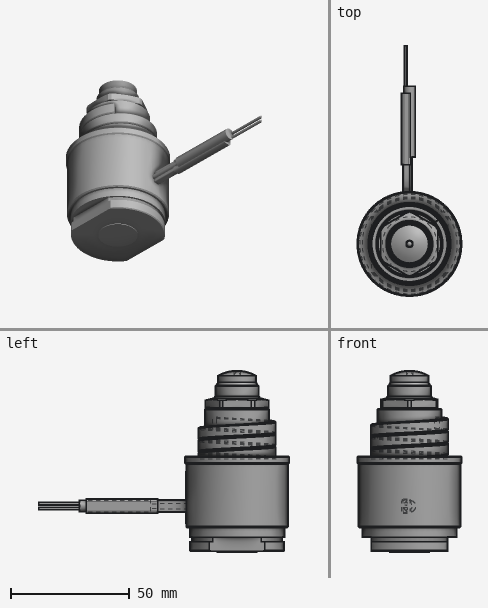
import cadquery as cq
import math

dome_apex_z = 76.37
flange_radius = 22.0
wire_end_y = 83.5

foot_pad_radius = 8.3
foot_pad_height = 0.25
foot_radius = 19.85
foot_top_z = 4.4
foot_neck_radius = 19.1
foot_neck_top_z = 6.3
foot_flat_distance = 16.1
foot_edge_chamfer = 0.4

step_radius = 20.0
step_top_z = 10.3
body_radius = 21.5
body_edge_chamfer = 0.5
flange_bottom_z = 37.5
flange_top_z = 40.3
flange_edge_chamfer = 0.4

core_radius = 13.55
core_top_z = 60.3
core_edge_chamfer = 0.35
thread_radius = 16.4
thread_pitch = 5.2
thread_turns = 4
thread_gap = 0.1
thread_chamfer = 0.5
thread_overlap = 0.5
thread_end_angle = 40.0
thread_end_z = 56.9
recess_radius = 16.9
recess_depth = 1.0
recess_chamfer = 0.5

cap_neck_radius = 11.5
hex_across_flats = 24.0
hex_corner_radius = 13.45
hex_bottom_z = 60.8
hex_edge_z = 63.85
cap_cone_radius = 9.8
cap_cone_z = 64.8
collar_radius = 9.15
collar_bottom_z = 65.5
collar_top_z = 69.75
collar_chamfer = 0.45
tip_radius = 8.05
tip_root_radius = 8.6
tip_root_z = 71.4
dome_base_z = 74.2

seat_radius = 1.45
seat_depth = 1.9
ball_radius = 1.3

cable_z = 19.35
cable_start_y = body_radius - 2.0
flat_tube_center_x = -1.45
flat_tube_width = 3.8
flat_tube_height = 6.1
flat_tube_fillet = 1.0
flat_tube_start_y = 33.4
flat_tube_end_y = 63.5
round_tube_diameter = 5.0
round_tube_start_y = 36.6
round_tube_end_y = 66.4
flat_cable_center_x = -1.35
flat_cable_width = 2.9
flat_cable_height = 5.1
flat_cable_fillet = 0.4
round_cable_diameter = 2.2
wire_diameter = 1.2
wire_center_x = -1.55
wire_spacing = 2.05


def disc(radius, bottom_z, top_z):
    """Plain cylinder on the Z axis."""
    return cq.Workplane("XY").workplane(offset=bottom_z).circle(radius).extrude(top_z - bottom_z)


def make_foot():
    """Grooved foot disc with parallel flats on both X sides and a thin pad below."""
    plate = disc(foot_radius, foot_pad_height, foot_top_z).faces("<Z").chamfer(foot_edge_chamfer)
    neck = disc(foot_neck_radius, foot_top_z, foot_neck_top_z)
    between_flats = cq.Workplane("XY").box(
        2 * foot_flat_distance, 2 * flange_radius, foot_neck_top_z, centered=(True, True, False)
    )
    pad = disc(foot_pad_radius, 0, foot_top_z)
    return plate.union(neck).intersect(between_flats).union(pad)


def make_housing():
    """Step, main body and flange, with a chamfered ring recess around the thread."""
    step = disc(step_radius, foot_neck_top_z, step_top_z)
    body = disc(body_radius, step_top_z, flange_bottom_z).faces("<Z").chamfer(body_edge_chamfer)
    flange = disc(flange_radius, flange_bottom_z - body_edge_chamfer, flange_top_z)
    flange = flange.faces("<Z").chamfer(body_edge_chamfer).faces(">Z").chamfer(flange_edge_chamfer)
    recess = disc(recess_radius, flange_top_z - recess_depth, flange_top_z)
    mouth_bottom = cq.Vector(0, 0, flange_top_z - recess_chamfer)
    mouth_radius = recess_radius + recess_chamfer
    mouth = cq.Workplane(obj=cq.Solid.makeCone(recess_radius, mouth_radius, recess_chamfer, mouth_bottom))
    return step.union(body).union(flange).cut(recess).cut(mouth)


def make_thread():
    """Right-handed helical ribbon around the core, running down into the housing."""
    height = thread_pitch - thread_gap
    start_top_z = thread_end_z - thread_turns * thread_pitch
    start_bottom_z = start_top_z - height
    inner_radius = core_radius - thread_overlap
    inner_shoulder_radius = core_radius + thread_chamfer
    chamfer_run = inner_shoulder_radius - inner_radius
    shoulder_radius = thread_radius - thread_chamfer
    profile = (
        cq.Workplane("XZ")
        .moveTo(inner_radius, start_bottom_z + chamfer_run)
        .lineTo(inner_shoulder_radius, start_bottom_z)
        .lineTo(shoulder_radius, start_bottom_z)
        .lineTo(thread_radius, start_bottom_z + thread_chamfer)
        .lineTo(thread_radius, start_top_z - thread_chamfer)
        .lineTo(shoulder_radius, start_top_z)
        .lineTo(inner_shoulder_radius, start_top_z)
        .lineTo(inner_radius, start_top_z - chamfer_run)
        .close()
    )
    helix = cq.Wire.makeHelix(
        thread_pitch, thread_turns * thread_pitch, thread_radius, cq.Vector(0, 0, start_bottom_z)
    )
    ribbon = profile.sweep(cq.Workplane(obj=helix), isFrenet=True)
    return ribbon.rotate((0, 0, 0), (0, 0, 1), thread_end_angle)


def make_core():
    """Plain cylinder inside the thread."""
    core = disc(core_radius, flange_bottom_z, core_top_z)
    return core.faces(">Z").chamfer(core_edge_chamfer)


def make_cap():
    """Hexagonal cap with turned corners, conical top, collar and domed tip."""
    outline = (
        cq.Workplane("XZ")
        .moveTo(0, hex_bottom_z)
        .lineTo(hex_corner_radius, hex_bottom_z)
        .lineTo(hex_corner_radius, hex_edge_z)
        .lineTo(cap_cone_radius, cap_cone_z)
        .lineTo(collar_radius, collar_bottom_z)
        .lineTo(collar_radius, collar_top_z)
        .lineTo(collar_radius - collar_chamfer, collar_top_z + collar_chamfer)
        .lineTo(tip_root_radius, collar_top_z + collar_chamfer)
        .lineTo(tip_radius, tip_root_z)
        .lineTo(tip_radius, dome_base_z)
    )
    dome_rise = dome_apex_z - dome_base_z
    dome_radius = (tip_radius ** 2 + dome_rise ** 2) / (2 * dome_rise)
    mid_angle = math.asin(tip_radius / dome_radius) / 2
    dome_center_z = dome_apex_z - dome_radius
    dome_middle = (
        dome_radius * math.sin(mid_angle),
        dome_center_z + dome_radius * math.cos(mid_angle),
    )
    turned = outline.threePointArc(dome_middle, (0, dome_apex_z)).close().revolve(360, (0, 0), (0, 1))
    hex_corner_diameter = hex_across_flats / math.cos(math.pi / 6)
    hexagon = (
        cq.Workplane("XY")
        .workplane(offset=hex_bottom_z)
        .transformed(rotate=(0, 0, 90))
        .polygon(6, hex_corner_diameter)
        .extrude(dome_apex_z - hex_bottom_z)
    )
    neck = disc(cap_neck_radius, core_top_z - core_edge_chamfer, hex_bottom_z)
    return turned.intersect(hexagon).union(neck)


def add_ball_seat(part):
    """Round pocket in the dome with a ball standing half out of its floor."""
    floor_z = dome_apex_z - seat_depth
    pocket = disc(seat_radius, floor_z, dome_apex_z)
    ball = cq.Workplane("XY").sphere(ball_radius).translate((0, 0, floor_z))
    return part.cut(pocket).union(ball)


def round_rod(diameter, center_x, center_z, start_y, end_y):
    """Cylinder running along +Y."""
    rod = cq.Workplane("XZ", origin=(center_x, start_y, center_z)).circle(diameter / 2)
    return rod.extrude(start_y - end_y)


def flat_rod(width, height, fillet, center_x, start_y, end_y):
    """Rectangular bar along +Y with rounded long edges."""
    rod = cq.Workplane("XZ", origin=(center_x, start_y, cable_z)).rect(width, height)
    return rod.extrude(start_y - end_y).edges("|Y").fillet(fillet)


def make_cables():
    """Flat and round cables, their sleeve tubes and the two thin wires at the end."""
    flat_cable = flat_rod(
        flat_cable_width, flat_cable_height, flat_cable_fillet,
        flat_cable_center_x, cable_start_y, flat_tube_end_y,
    )
    flat_tube = flat_rod(
        flat_tube_width, flat_tube_height, flat_tube_fillet,
        flat_tube_center_x, flat_tube_start_y, flat_tube_end_y,
    )
    round_cable = round_rod(round_cable_diameter, 0, cable_z, cable_start_y, round_tube_end_y)
    round_tube = round_rod(round_tube_diameter, 0, cable_z, round_tube_start_y, round_tube_end_y)
    cables = flat_cable.union(round_cable).union(flat_tube).union(round_tube)
    for side in (-1, 1):
        wire_z = cable_z + side * wire_spacing / 2
        cables = cables.union(
            round_rod(wire_diameter, wire_center_x, wire_z, round_tube_end_y, wire_end_y)
        )
    return cables


sleeve = make_housing().union(make_core()).union(make_thread())
cap = add_ball_seat(make_cap())
result = make_foot().union(sleeve).union(cap).union(make_cables())